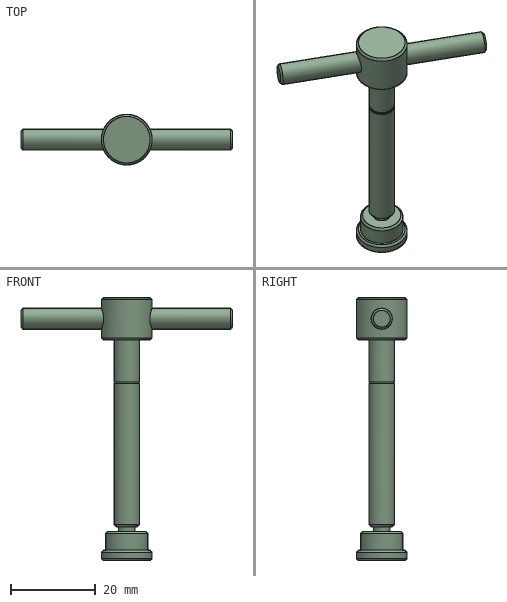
import cadquery as cq

total_height = 62.2

pad_diameter = 12.0
pad_flange_height = 2.5
pad_flange_chamfer = 0.5
pad_hub_diameter = 10.0
pad_height = 6.95
pad_hub_chamfer = 0.5

neck_diameter = 4.0
spindle_bottom = 8.0
spindle_diameter = 6.05
spindle_tip_chamfer = 0.55
groove_height = 0.4
groove_depth = 0.2
groove_bottom = 41.9

head_diameter = 12.0
head_height = 10.0
head_chamfer = 0.5
bar_length = 50.0
bar_diameter = 5.0
bar_chamfer = 0.5

head_bottom = total_height - head_height
bar_height = total_height - head_height / 2


def cylinder(diameter, bottom, top):
    """Vertical cylinder on the part axis between two heights."""
    return cq.Workplane("XY").workplane(offset=bottom).circle(diameter / 2).extrude(top - bottom)


flange = cylinder(pad_diameter, 0, pad_flange_height).edges().chamfer(pad_flange_chamfer)
hub = cylinder(pad_hub_diameter, pad_flange_height, pad_height).faces(">Z").edges().chamfer(pad_hub_chamfer)

neck = cylinder(neck_diameter, pad_height, spindle_bottom)
spindle = cylinder(spindle_diameter, spindle_bottom, head_bottom)
spindle = spindle.faces("<Z").edges().chamfer(spindle_tip_chamfer)
groove_top = groove_bottom + groove_height
groove = cylinder(spindle_diameter, groove_bottom, groove_top).cut(
    cylinder(spindle_diameter - 2 * groove_depth, groove_bottom, groove_top)
)
spindle = spindle.cut(groove)

head = cylinder(head_diameter, head_bottom, total_height).edges().chamfer(head_chamfer)
bar = (
    cq.Workplane("YZ", origin=(-bar_length / 2, 0, bar_height))
    .circle(bar_diameter / 2)
    .extrude(bar_length)
    .edges()
    .chamfer(bar_chamfer)
)

result = flange.union(hub).union(neck).union(spindle).union(head).union(bar)